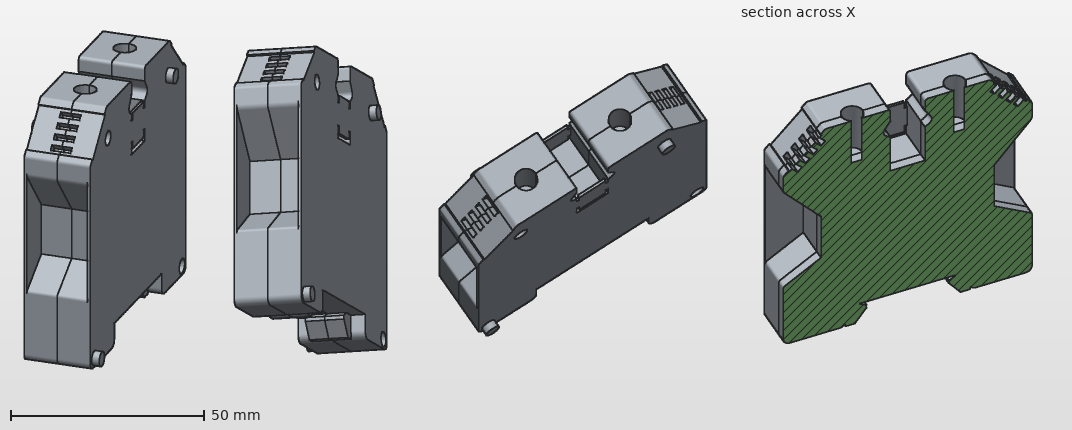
import cadquery as cq

LENGTH = 71.0
HEIGHT = 69.6
WIDTH = 18.3
WALL = 0.8
HALF_LENGTH = LENGTH / 2
HALF_WIDTH = WIDTH / 2
BASE_CORNER_RADIUS = 2.0

SHOULDER = 12.1
SHOULDER_RADIUS = 1.2
PANEL_STEP = 0.35
LIP = 1.5

CHANNEL_HALF_WIDTH = 4.9
CHANNEL_FLOOR_Z = 48.7
CHANNEL_RIM_RADIUS = 1.0
UNDERCUT_HALF_WIDTH = 7.3
UNDERCUT_TIP_Z = 61.9
UNDERCUT_TIP_RADIUS = 1.4
UNDERCUT_TOP_Z = 65.5
UNDERCUT_BOTTOM_Z = 60.1

PLATE_HALF_WIDTH = 4.1
PLATE_BOTTOM_Z = 50.05
PLATE_TOP_Z = UNDERCUT_BOTTOM_Z
BRIDGE_BOTTOM_Z = 52.1
BRIDGE_TOP_Z = 58.2

RAIL_HALF_WIDTH = 17.55
RAIL_DEPTH = 6.3
FOOT_RADIUS = 2.0
HOOK_SETBACK = 3.9
HOOK_ROOT_Y = 13.6
HOOK_TIP_Y = 11.7
HOOK_TIP_TOP_Z = 5.25
HOOK_TIP_BOTTOM_Z = 4.25
HOOK_BASE_Y = 15.05
HOOK_HEEL_Y = 17.9
HOOK_HEEL_RADIUS = 0.5

ENTRY_DEPTH = 10.8
ENTRY_TOP_Z = 52.1
ENTRY_BACK_TOP_Z = 40.0
ENTRY_BACK_BOTTOM_Z = 26.05
ENTRY_BOTTOM_Z = 19.8
ENTRY_TOP_RADIUS = 1.9
ENTRY_BOTTOM_RADIUS = 1.0

SCREW_HOLE_DIAMETER = 5.95
SCREW_HOLE_Y = 14.6
SCREW_HOLE_DEPTH = 14.2

SLOT_COUNT = 4
SLOT_LENGTH = 5.55
SLOT_HEIGHT = 1.55
SLOT_DEPTH = 2.35
SLOT_PITCH = 3.1

PEG_DIAMETER = 4.0
PEG_LENGTH = 2.095
UPPER_PEG_Y = 22.3
UPPER_PEG_Z = 60.3
LOWER_PEG_Y = 32.5
LOWER_PEG_Z = 2.5

SIDES = (1, -1)

SHOULDER_TOP_Y = HALF_LENGTH - SHOULDER
SHOULDER_BOTTOM_Z = HEIGHT - SHOULDER
PANEL_TOP_Y = SHOULDER_TOP_Y + LIP - PANEL_STEP
PANEL_TOP_Z = HEIGHT - LIP - PANEL_STEP
PANEL_BOTTOM_Y = HALF_LENGTH - LIP - PANEL_STEP
PANEL_BOTTOM_Z = SHOULDER_BOTTOM_Z + LIP - PANEL_STEP


def extrude_along_x(points, x_start, x_end):
    """Extrude a closed outline of (y, z) points from x_start to x_end."""
    return cq.Workplane("YZ", origin=(x_start, 0, 0)).polyline(points).close().extrude(x_end - x_start)


def fillet_corner(body, y, z, radius):
    """Round the edge that runs along X through the point (y, z)."""
    reach = 0.035
    selector = cq.selectors.BoxSelector((-WIDTH, y - reach, z - reach), (WIDTH, y + reach, z + reach))
    return body.edges("|X").edges(selector).fillet(radius)


def block_profile():
    """Solid slab with the side outline of the block, from the outer face to the seam."""
    end_half = [
        (CHANNEL_HALF_WIDTH, CHANNEL_FLOOR_Z),
        (CHANNEL_HALF_WIDTH, UNDERCUT_BOTTOM_Z),
        (UNDERCUT_HALF_WIDTH, UNDERCUT_TIP_Z),
        (CHANNEL_HALF_WIDTH, UNDERCUT_TOP_Z),
        (CHANNEL_HALF_WIDTH, HEIGHT),
        (SHOULDER_TOP_Y, HEIGHT),
        (PANEL_TOP_Y + PANEL_STEP, PANEL_TOP_Z + PANEL_STEP),
        (PANEL_TOP_Y, PANEL_TOP_Z),
        (PANEL_BOTTOM_Y, PANEL_BOTTOM_Z),
        (PANEL_BOTTOM_Y + PANEL_STEP, PANEL_BOTTOM_Z + PANEL_STEP),
        (HALF_LENGTH, SHOULDER_BOTTOM_Z),
        (HALF_LENGTH, 0),
        (RAIL_HALF_WIDTH, 0),
        (RAIL_HALF_WIDTH, RAIL_DEPTH),
    ]
    other_half = [(-y, z) for y, z in reversed(end_half)]
    slab = extrude_along_x(end_half + other_half, -HALF_WIDTH, 0)
    for side in SIDES:
        slab = fillet_corner(slab, side * UNDERCUT_HALF_WIDTH, UNDERCUT_TIP_Z, UNDERCUT_TIP_RADIUS)
        slab = fillet_corner(slab, side * CHANNEL_HALF_WIDTH, HEIGHT, CHANNEL_RIM_RADIUS)
        slab = fillet_corner(slab, side * SHOULDER_TOP_Y, HEIGHT, SHOULDER_RADIUS)
        slab = fillet_corner(slab, side * HALF_LENGTH, SHOULDER_BOTTOM_Z, SHOULDER_RADIUS)
        slab = fillet_corner(slab, side * HALF_LENGTH, 0, BASE_CORNER_RADIUS)
        slab = fillet_corner(slab, side * RAIL_HALF_WIDTH, 0, FOOT_RADIUS)
    return slab


def channel_plate():
    """Thin plate across the channel, joined to the channel walls by its middle band."""
    bridge = (
        cq.Workplane("XY")
        .box(WALL, 2 * CHANNEL_HALF_WIDTH, BRIDGE_TOP_Z - BRIDGE_BOTTOM_Z, centered=(False, True, False))
        .translate((-HALF_WIDTH, 0, BRIDGE_BOTTOM_Z))
    )
    tongue = (
        cq.Workplane("XY")
        .box(WALL, 2 * PLATE_HALF_WIDTH, PLATE_TOP_Z - PLATE_BOTTOM_Z, centered=(False, True, False))
        .translate((-HALF_WIDTH, 0, PLATE_BOTTOM_Z))
    )
    return bridge.union(tongue)


def rail_hook(side):
    """Hook that reaches into the rail recess from one foot, set back from the outer face."""
    outline = [
        (side * (RAIL_HALF_WIDTH + FOOT_RADIUS), RAIL_DEPTH),
        (side * HOOK_ROOT_Y, RAIL_DEPTH),
        (side * HOOK_TIP_Y, HOOK_TIP_TOP_Z),
        (side * HOOK_TIP_Y, HOOK_TIP_BOTTOM_Z),
        (side * HOOK_BASE_Y, 0),
        (side * HOOK_HEEL_Y, 0),
        (side * HOOK_HEEL_Y, FOOT_RADIUS),
        (side * (RAIL_HALF_WIDTH + FOOT_RADIUS), FOOT_RADIUS),
    ]
    hook = extrude_along_x(outline, -HALF_WIDTH + HOOK_SETBACK, 0)
    return fillet_corner(hook, side * HOOK_HEEL_Y, 0, HOOK_HEEL_RADIUS)


def wire_entry(side):
    """Funnel-shaped recess of one end face, inside the outer wall."""
    back_y = HALF_LENGTH - ENTRY_DEPTH
    outline = [
        (side * HALF_LENGTH, ENTRY_TOP_Z),
        (side * back_y, ENTRY_BACK_TOP_Z),
        (side * back_y, ENTRY_BACK_BOTTOM_Z),
        (side * HALF_LENGTH, ENTRY_BOTTOM_Z),
    ]
    return extrude_along_x(outline, -HALF_WIDTH + WALL, 0)


def cut_wire_entries(body):
    """Sink both wire entries and round their upper and lower mouths."""
    for side in SIDES:
        body = body.cut(wire_entry(side))
        body = fillet_corner(body, side * HALF_LENGTH, ENTRY_TOP_Z, ENTRY_TOP_RADIUS)
        body = fillet_corner(body, side * HALF_LENGTH, ENTRY_BOTTOM_Z, ENTRY_BOTTOM_RADIUS)
    return body


def screw_hole(side):
    """Blind hole from the top face, centred on the seam so that each half holds half of it."""
    return (
        cq.Workplane("XY", origin=(0, side * SCREW_HOLE_Y, HEIGHT))
        .circle(SCREW_HOLE_DIAMETER / 2)
        .extrude(-SCREW_HOLE_DEPTH)
    )


def vent_slots(side):
    """Row of slots centred on one shoulder panel and sunk square to it."""
    panel_centre = (0, side * (PANEL_TOP_Y + PANEL_BOTTOM_Y) / 2, (PANEL_TOP_Z + PANEL_BOTTOM_Z) / 2)
    panel = cq.Plane(origin=panel_centre, xDir=(1, 0, 0), normal=(0, side, 1))
    return (
        cq.Workplane(panel)
        .rarray(0.7, SLOT_PITCH, 1, SLOT_COUNT)
        .rect(SLOT_LENGTH, SLOT_HEIGHT)
        .extrude(-SLOT_DEPTH)
    )


def outer_face_pin(y, z, length):
    """Round pin on the outer face; a positive length goes into the body, a negative one stands out."""
    return cq.Workplane("YZ", origin=(-HALF_WIDTH, y, z)).circle(PEG_DIAMETER / 2).extrude(length)


def housing_half():
    """Half housing on the -X side of the seam."""
    body = cut_wire_entries(block_profile()).union(channel_plate())
    for side in SIDES:
        body = body.union(rail_hook(side))
        body = body.cut(screw_hole(side)).cut(vent_slots(side))
    body = body.union(outer_face_pin(-UPPER_PEG_Y, UPPER_PEG_Z, -PEG_LENGTH))
    body = body.union(outer_face_pin(LOWER_PEG_Y, LOWER_PEG_Z, -PEG_LENGTH))
    body = body.cut(outer_face_pin(UPPER_PEG_Y, UPPER_PEG_Z, PEG_LENGTH))
    body = body.cut(outer_face_pin(-LOWER_PEG_Y, LOWER_PEG_Z, PEG_LENGTH))
    return body


housing_halves = [housing_half().rotate((0, 0, 0), (0, 0, 1), turn).val() for turn in (0, 180)]

result = cq.Compound.makeCompound(housing_halves)